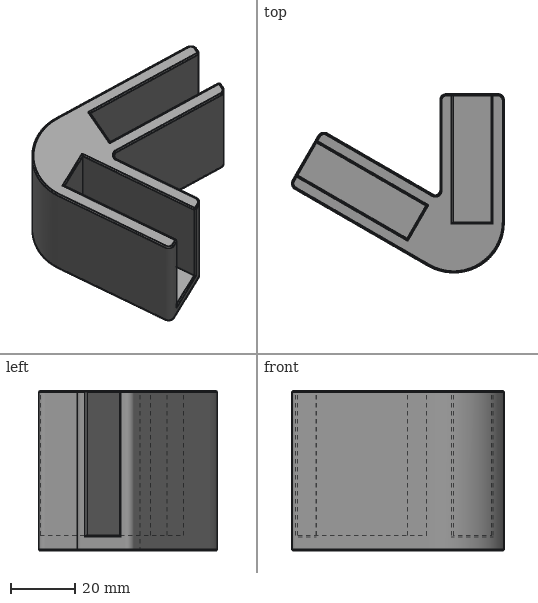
import cadquery as cq
import math

height = 50.0
corner_radius = 15.75
arm_width = 20.0
straight_arm_length = 40.0
angled_arm_length = 50.0
straight_arm_angle = 90.0
angled_arm_angle = 150.0
tip_radius = 2.0
inner_radius = 1.45
edge_chamfer = 0.5

slot_width = 11.85
slot_length = 40.0
floor_thickness = 5.0
slot_offset = corner_radius - arm_width / 2


def arm_point(angle, along, outward, side):
    """Point at a distance along an arm and outward from its line, in XY."""
    a = math.radians(angle)
    return (
        along * math.cos(a) + side * outward * math.sin(a),
        along * math.sin(a) - side * outward * math.cos(a),
    )


straight_side = 1
angled_side = -1


def make_body():
    inner = corner_radius - arm_width
    half_angle = math.radians(angled_arm_angle - straight_arm_angle) / 2
    inner_corner_along = -inner / math.tan(half_angle)
    mid_angle = (straight_arm_angle + angled_arm_angle) / 2 - 180
    body = (
        cq.Workplane("XY")
        .moveTo(*arm_point(straight_arm_angle, 0, corner_radius, straight_side))
        .lineTo(*arm_point(straight_arm_angle, straight_arm_length, corner_radius, straight_side))
        .lineTo(*arm_point(straight_arm_angle, straight_arm_length, inner, straight_side))
        .lineTo(*arm_point(straight_arm_angle, inner_corner_along, inner, straight_side))
        .lineTo(*arm_point(angled_arm_angle, angled_arm_length, inner, angled_side))
        .lineTo(*arm_point(angled_arm_angle, angled_arm_length, corner_radius, angled_side))
        .lineTo(*arm_point(angled_arm_angle, 0, corner_radius, angled_side))
        .threePointArc(
            arm_point(mid_angle, corner_radius, 0, straight_side),
            arm_point(straight_arm_angle, 0, corner_radius, straight_side),
        )
        .close()
        .extrude(height)
    )
    tip_edges = [
        edge for edge in body.edges("|Z").vals()
        if math.hypot(edge.Center().x, edge.Center().y) > 2 * corner_radius
    ]
    body = body.newObject(tip_edges).fillet(tip_radius)
    inner_x, inner_y = arm_point(straight_arm_angle, inner_corner_along, inner, straight_side)
    inner_edge = cq.selectors.NearestToPointSelector((inner_x, inner_y, height / 2))
    body = body.edges("|Z").edges(inner_edge).fillet(inner_radius)
    return body.faces("<Z or >Z").edges().chamfer(edge_chamfer)


def make_slot(angle, arm_length, side):
    """Slot cutter with rims flared at 45 degrees on the top and tip faces."""
    overrun = slot_length
    depth = height - floor_thickness
    start = arm_length - slot_length
    pocket = cq.Workplane("XY").box(
        slot_length + overrun, slot_width, depth + overrun, centered=(False, True, False)
    ).translate((start, 0, floor_thickness))
    rim_width = slot_width + 2 * edge_chamfer
    top_length = slot_length + overrun + edge_chamfer
    top_flare = (
        cq.Workplane("XY", origin=(start - edge_chamfer + top_length / 2, 0, height))
        .rect(top_length, rim_width)
        .extrude(-edge_chamfer, taper=45)
    )
    tip_height = depth + overrun + edge_chamfer
    tip_flare = (
        cq.Workplane("YZ", origin=(arm_length, 0, floor_thickness - edge_chamfer + tip_height / 2))
        .rect(rim_width, tip_height)
        .extrude(-edge_chamfer, taper=45)
    )
    cutter = pocket.union(top_flare).union(tip_flare)
    return cutter.translate((0, -side * slot_offset, 0)).rotate((0, 0, 0), (0, 0, 1), angle)


result = (
    make_body()
    .cut(make_slot(straight_arm_angle, straight_arm_length, straight_side))
    .cut(make_slot(angled_arm_angle, angled_arm_length, angled_side))
)